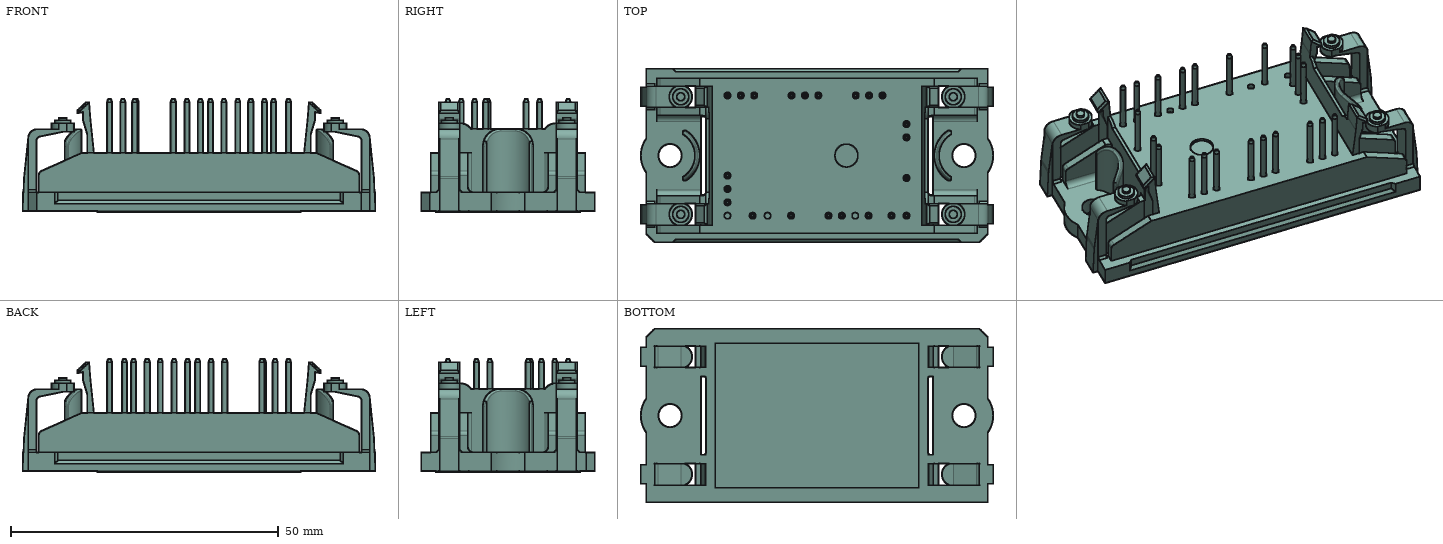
import cadquery as cq

BASE_LENGTH = 64.0
BASE_WIDTH = 32.5
BASE_TOP = 3.5
CORNER_CHAMFER = 1.6
EAR_X = 27.5
EAR_RADIUS = 5.5
MOUNT_HOLE_DIA = 4.3
PAD_LENGTH = 38.0
PAD_WIDTH = 27.0
PAD_DEPTH = 0.23

GROOVE_HALF_LENGTH = 27.0
GROOVE_DEPTH = 0.6
GROOVE_FLOOR = 1.4
GROOVE_SLOPE_ANGLE = 45

HOUSING_HALF_LENGTH = 30.0
HOUSING_HALF_WIDTH = 14.5
HOUSING_TOP = 10.9
SHOULDER_X = 21.9
SHOULDER_Z = 7.3
SHOULDER_ROUND = 0.9
RIB_INNER_Y = 7.5
RIB_ROOT_ROUND = 1.1
BAY_CORNER_ROUND = 0.65

CLIP_Y = 11.0
CLIP_WIDTH = 4.0
CLIP_EDGE_INNER = CLIP_Y - CLIP_WIDTH / 2
CLIP_EDGE_OUTER = CLIP_Y + CLIP_WIDTH / 2
LEG_OUTER_X = 32.0
LEG_INNER_X = 30.4
LEG_FOOT_X = 33.0
LEG_BEND_LOW = (32.77, 6.1)
LEG_BEND_HIGH = (32.74, 6.5)
LEG_TAPER_WIDTH = 3.6
LEG_FLARE = 0.45
ARM_TOP = 15.35
ARM_OUTER_ROUND = 1.8
LEG_TAPER_TOP = ARM_TOP - ARM_OUTER_ROUND
ARM_ROOT_Z = 13.8
ARM_TIP_Z = 14.8
ARM_INNER_ROUND = 0.8
SEAT_X = 25.5
SEAT_DIA = 4.3
SEAT_TOP = 16.45
COLLAR_DIA = 3.0
COLLAR_TOP = 17.0
STUD_DIA = 1.5
STUD_TOP = 17.45

WALL_OUTER_X = 20.8
WALL_ROOT_X = 19.65
WALL_TOP = 15.4
HOOK_NECK_Z = 17.1
HOOK_NECK_X = 20.3
HOOK_TOP = 20.4
HOOK_TOP_INNER_X = 20.55
HOOK_TOP_OUTER_X = 21.1
HOOK_TIP_X = 22.75
HOOK_TIP_TOP = 18.85
HOOK_TIP_BOTTOM = 18.3
HOOK_BARB_X = 21.75
HOOK_BARB_TOP = 18.5
HOOK_BARB_ROUND = 1.0
HOOK_STEM_X = 20.95
HOOK_STEM_TOP = 14.4
HOOK_EDGE_CHAMFER = 0.4
GAP_OUTER_X = 21.7
GAP_HALF_WIDTH = 7.3
WALL_END_TOP = 16.45
WALL_END_LENGTH = 2.1

GUARD_OUTER_RADIUS = 5.55
GUARD_INNER_RADIUS = 4.65
GUARD_END_X = 25.15
GUARD_HALF_WIDTH = 4.7
GUARD_TOP = 15.35
GUARD_CORNER_RADIUS = 3.2
GUARD_EDGE_ROUND = 0.35

PIN_DIA = 1.0
PIN_HOLE_DIA = 1.2
PIN_HOLE_DEPTH = 1.0
PIN_TOP = 21.0
PIN_TIP_HEIGHT = 0.6
PIN_TIP_DIA = 0.5
PIN_SIDE_X = 16.75
PIN_ROW_Y = 11.25
BACK_ROW_X = [-16.75, -14.25, -11.75, -4.75, -2.25, 0.25, 7.25, 9.75, 12.25]
FRONT_ROW_X = [-12.05, -4.85, 2.15, 4.65, 9.65, 13.95, PIN_SIDE_X]
EMPTY_ROW_X = [-PIN_SIDE_X, -9.25, 7.15]
LEFT_COLUMN_Y = [-3.75, -6.25, -8.75]
RIGHT_COLUMN_Y = [5.9, 3.4, -4.2]

DIMPLE_X = 5.5
DIMPLE_DIA = 4.3
DIMPLE_DEPTH = 0.5


def box(x0, x1, y0, y1, z0, z1):
    """Block between two opposite corners."""
    return cq.Workplane("XY").box(x1 - x0, y1 - y0, z1 - z0, centered=False).translate((x0, y0, z0))


def post(dia, x, y, z0, z1):
    """Upright cylinder."""
    return cq.Workplane("XY").circle(dia / 2).extrude(z1 - z0).translate((x, y, z0))


def side_extrusion(outline, y0, y1):
    """Extrude a closed XZ sketch from y0 to y1."""
    return outline.extrude(y0 - y1).translate((0, y0, 0))


def both_ends(shape):
    """The shape and its mirror image at the opposite X end."""
    return shape.union(shape.mirror("YZ"))


def four_corners(shape):
    """The shape repeated at all four corners."""
    return both_ends(shape.union(shape.mirror("XZ")))


def base_plate():
    plate = cq.Workplane("XY").rect(BASE_LENGTH, BASE_WIDTH).extrude(BASE_TOP)
    plate = plate.edges("|Z and <Y").chamfer(CORNER_CHAMFER)
    ear = post(2 * EAR_RADIUS, EAR_X, 0, 0, BASE_TOP)
    pad = cq.Workplane("XY").rect(PAD_LENGTH, PAD_WIDTH).extrude(-PAD_DEPTH)
    return plate.union(both_ends(ear)).union(pad)


def side_groove():
    """Recess in the +Y edge of the base, with sloping floor and ends."""
    height = BASE_TOP - GROOVE_FLOOR
    mouth = cq.Workplane("XZ").workplane(offset=-BASE_WIDTH / 2)
    mouth = mouth.center(0, GROOVE_FLOOR + height).rect(2 * GROOVE_HALF_LENGTH, 2 * height)
    return mouth.extrude(GROOVE_DEPTH, taper=GROOVE_SLOPE_ANGLE)


def housing():
    half_length = HOUSING_HALF_LENGTH
    outline = cq.Workplane("XZ").polyline([
        (-half_length, BASE_TOP), (-half_length, SHOULDER_Z), (-SHOULDER_X, HOUSING_TOP),
        (SHOULDER_X, HOUSING_TOP), (half_length, SHOULDER_Z), (half_length, BASE_TOP),
    ]).close()
    block = side_extrusion(outline, -HOUSING_HALF_WIDTH, HOUSING_HALF_WIDTH)
    for x in (-half_length, half_length):
        shoulder = cq.selectors.NearestToPointSelector((x, 0, SHOULDER_Z))
        block = block.edges(shoulder).fillet(SHOULDER_ROUND)
    bay = box(WALL_OUTER_X, half_length, -RIB_INNER_Y, RIB_INNER_Y, BASE_TOP, HOUSING_TOP)
    bay = bay.edges("|Z and <X").fillet(BAY_CORNER_ROUND)
    return block.cut(both_ends(bay))


def rib_root():
    """Concave round where the inner rib meets the base."""
    radius = RIB_ROOT_ROUND
    corner = box(GAP_OUTER_X, HOUSING_HALF_LENGTH, RIB_INNER_Y - radius, RIB_INNER_Y,
                 BASE_TOP, BASE_TOP + radius)
    scoop = cq.Workplane("YZ").circle(radius).extrude(HOUSING_HALF_LENGTH)
    return corner.cut(scoop.translate((0, RIB_INNER_Y - radius, BASE_TOP + radius)))


def leg():
    """Upright leg with a bent-over arm carrying the screw seat."""
    bracket = cq.Workplane("XZ").polyline([
        (LEG_OUTER_X, 0), (LEG_OUTER_X, ARM_TOP), (SEAT_X, ARM_TOP), (SEAT_X, ARM_TIP_Z),
        (LEG_INNER_X, ARM_ROOT_Z), (LEG_INNER_X, 0),
    ]).close()
    body = side_extrusion(bracket, CLIP_EDGE_INNER, CLIP_EDGE_OUTER)
    body = body.edges("|Y and >X and >Z").fillet(ARM_OUTER_ROUND)
    elbow = cq.selectors.NearestToPointSelector((LEG_INNER_X, CLIP_Y, ARM_ROOT_Z))
    body = body.edges(elbow).fillet(ARM_INNER_ROUND)

    taper = cq.Workplane("XZ").polyline([
        (LEG_INNER_X, 0), (LEG_FOOT_X, 0), LEG_BEND_LOW, LEG_BEND_HIGH,
        (LEG_OUTER_X, LEG_TAPER_TOP), (LEG_INNER_X, LEG_TAPER_TOP),
    ]).close()
    half_taper = LEG_TAPER_WIDTH / 2
    body = body.union(side_extrusion(taper, CLIP_Y - half_taper, CLIP_Y + half_taper))

    half_clip = CLIP_WIDTH / 2
    flare = cq.Workplane("YZ").polyline([
        (CLIP_Y - half_clip - LEG_FLARE, BASE_TOP), (CLIP_Y + half_clip + LEG_FLARE, BASE_TOP),
        (CLIP_Y + half_clip, BASE_TOP + LEG_FLARE), (CLIP_Y - half_clip, BASE_TOP + LEG_FLARE),
    ]).close().extrude(LEG_OUTER_X - LEG_INNER_X).translate((LEG_INNER_X, 0, 0))
    return body.union(flare)


def screw_seat():
    seat = post(SEAT_DIA, SEAT_X, CLIP_Y, ARM_TIP_Z, SEAT_TOP)
    seat = seat.intersect(box(0, LEG_OUTER_X, CLIP_EDGE_INNER, CLIP_EDGE_OUTER, 0, SEAT_TOP))
    collar = post(COLLAR_DIA, SEAT_X, CLIP_Y, SEAT_TOP, COLLAR_TOP)
    stud = post(STUD_DIA, SEAT_X, CLIP_Y, COLLAR_TOP, STUD_TOP)
    return seat.union(collar).union(stud)


def snap_hook():
    outline = cq.Workplane("XZ").polyline([
        (WALL_ROOT_X, BASE_TOP), (WALL_ROOT_X, HOUSING_TOP), (HOOK_NECK_X, HOOK_NECK_Z),
        (HOOK_TOP_INNER_X, HOOK_TOP), (HOOK_TOP_OUTER_X, HOOK_TOP),
        (HOOK_TIP_X, HOOK_TIP_TOP), (HOOK_TIP_X, HOOK_TIP_BOTTOM),
        (HOOK_BARB_X, HOOK_BARB_TOP), (HOOK_BARB_X, HOOK_NECK_Z),
        (HOOK_STEM_X, HOOK_STEM_TOP), (HOOK_STEM_X, BASE_TOP),
    ]).close()
    hook = side_extrusion(outline, CLIP_EDGE_INNER, CLIP_EDGE_OUTER)
    barb = cq.selectors.NearestToPointSelector((HOOK_BARB_X, CLIP_Y, HOOK_NECK_Z))
    hook = hook.edges(barb).fillet(HOOK_BARB_ROUND)
    ramp_x = (HOOK_TOP_OUTER_X + HOOK_TIP_X) / 2
    ramp_z = (HOOK_TOP + HOOK_TIP_TOP) / 2
    for y in (CLIP_EDGE_INNER, CLIP_EDGE_OUTER):
        ramp_edge = cq.selectors.NearestToPointSelector((ramp_x, y, ramp_z))
        hook = hook.edges(ramp_edge).chamfer(HOOK_EDGE_CHAMFER)
    return hook


def snap_wall():
    """Tapered wall joining the two hooks of one end, curving up to meet each hook."""
    slope = (HOOK_NECK_X - WALL_ROOT_X) / (HOOK_NECK_Z - HOUSING_TOP)
    crest_x = WALL_ROOT_X + slope * (WALL_END_TOP - HOUSING_TOP)
    section = cq.Workplane("XZ").polyline([
        (WALL_ROOT_X, BASE_TOP), (WALL_ROOT_X, HOUSING_TOP), (crest_x, WALL_END_TOP),
        (WALL_OUTER_X, WALL_END_TOP), (WALL_OUTER_X, BASE_TOP),
    ]).close()
    wall = side_extrusion(section, -CLIP_EDGE_INNER, CLIP_EDGE_INNER)

    rise = WALL_END_TOP - WALL_TOP
    round_radius = (WALL_END_LENGTH ** 2 + rise ** 2) / (2 * rise)
    dip = box(0, HOOK_TIP_X, -CLIP_EDGE_INNER, CLIP_EDGE_INNER, WALL_TOP, WALL_END_TOP)
    crown = cq.Workplane("YZ").circle(round_radius).extrude(HOOK_TIP_X)
    for y in (-CLIP_EDGE_INNER, CLIP_EDGE_INNER):
        dip = dip.cut(crown.translate((0, y, WALL_END_TOP - round_radius)))
    return wall.cut(dip)


def screw_guard():
    """Curved, arch-topped shield around the screw head, with a rounded rim."""
    height = GUARD_TOP - BASE_TOP
    ring = cq.Workplane("XY").circle(GUARD_OUTER_RADIUS).circle(GUARD_INNER_RADIUS).extrude(height)
    ring = ring.translate((EAR_X, 0, BASE_TOP))
    arch = box(0, GUARD_END_X, -GUARD_HALF_WIDTH, GUARD_HALF_WIDTH, BASE_TOP, GUARD_TOP)
    arch = arch.edges("|X and >Z").fillet(GUARD_CORNER_RADIUS)
    rim = cq.selectors.BoxSelector(
        (0, -GUARD_OUTER_RADIUS, GUARD_TOP - GUARD_CORNER_RADIUS), (EAR_X, GUARD_OUTER_RADIUS, PIN_TOP))
    return ring.intersect(arch).edges(rim).fillet(GUARD_EDGE_ROUND)


def pin(x, y):
    shank_top = PIN_TOP - PIN_TIP_HEIGHT
    shank = post(PIN_DIA, x, y, HOUSING_TOP - PIN_HOLE_DEPTH, shank_top)
    tip = cq.Workplane("XY").circle(PIN_DIA / 2).workplane(offset=PIN_TIP_HEIGHT)
    tip = tip.circle(PIN_TIP_DIA / 2).loft().translate((x, y, shank_top))
    return shank.union(tip)


pin_places = [(x, PIN_ROW_Y) for x in BACK_ROW_X]
pin_places += [(x, -PIN_ROW_Y) for x in FRONT_ROW_X]
pin_places += [(-PIN_SIDE_X, y) for y in LEFT_COLUMN_Y]
pin_places += [(PIN_SIDE_X, y) for y in RIGHT_COLUMN_Y]
empty_places = [(x, -PIN_ROW_Y) for x in EMPTY_ROW_X]

groove = side_groove()
result = base_plate().cut(groove).cut(groove.mirror("XZ"))
result = result.union(housing()).union(four_corners(rib_root()))
result = result.union(both_ends(screw_guard()))

clip_slot = box(WALL_OUTER_X, LEG_INNER_X, CLIP_EDGE_INNER, CLIP_EDGE_OUTER, 0, HOUSING_TOP)
result = result.cut(four_corners(clip_slot))
end_gap = box(WALL_OUTER_X, GAP_OUTER_X, -GAP_HALF_WIDTH, GAP_HALF_WIDTH, 0, BASE_TOP)
mount_hole = post(MOUNT_HOLE_DIA, EAR_X, 0, 0, BASE_TOP)
result = result.cut(both_ends(end_gap.union(mount_hole)))

result = result.union(four_corners(leg().union(screw_seat()).union(snap_hook())))
result = result.union(both_ends(snap_wall()))

result = result.cut(post(DIMPLE_DIA, DIMPLE_X, 0, HOUSING_TOP - DIMPLE_DEPTH, HOUSING_TOP))
for place in pin_places + empty_places:
    result = result.cut(post(PIN_HOLE_DIA, *place, HOUSING_TOP - PIN_HOLE_DEPTH, HOUSING_TOP))
for place in pin_places:
    result = result.union(pin(*place))